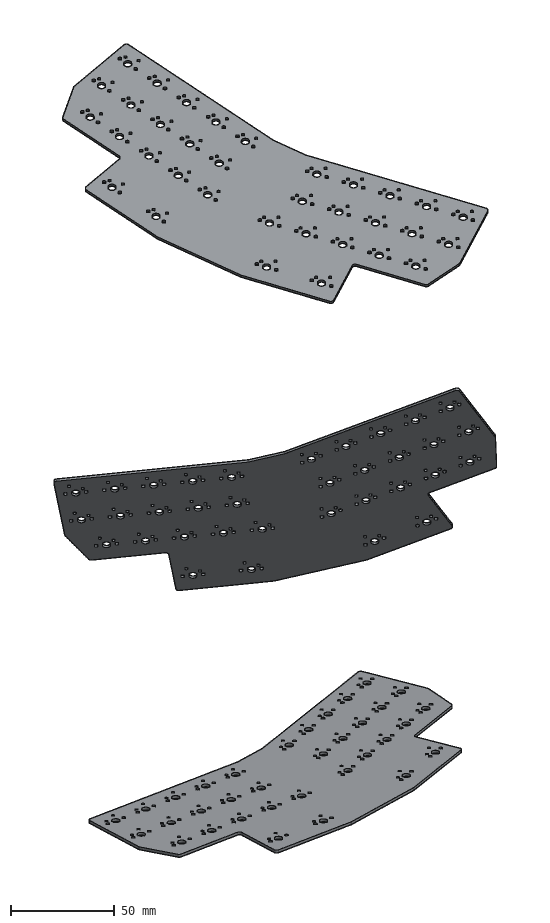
import cadquery as cq
import math


plate_thickness = 1.6
field_tilt = 10.0
corner_radius = 1.5
edge_margin = 9.58

key_pitch = 19.05
columns = 5
first_key_along = 24.49
top_row_up = 21.75
bottom_row_stagger = key_pitch / 2
thumb_keys = 2
thumb_pitch = 1.5 * key_pitch
thumb_row_drop = 27.19
thumb_shift = 0.24

middle_row_up = top_row_up - key_pitch
bottom_row_up = middle_row_up - key_pitch
thumb_row_up = bottom_row_up - thumb_row_drop
first_bottom_along = first_key_along - bottom_row_stagger
first_thumb_along = first_key_along - thumb_shift

stem_diameter = 3.99
locating_pin_diameter = 1.75
locating_pin_offset = 5.08
contact_diameter = 1.47
contact_points = [(-3.81, 2.54), (2.54, 5.08)]


def field_to_plate(along, up, side):
    """Turn field coordinates into plate X, Y; side is 1 for +X, -1 for -X."""
    tilt = math.radians(field_tilt)
    x = along * math.cos(tilt) - up * math.sin(tilt)
    y = along * math.sin(tilt) + up * math.cos(tilt)
    return (side * x, y)


def field_corners(side):
    """Outline of one half, from the top centre flat round to the bottom flat."""
    upper_end = first_key_along + (columns - 1) * key_pitch + edge_margin
    bottom_end = upper_end - bottom_row_stagger
    thumb_end = first_thumb_along + (thumb_keys - 1) * thumb_pitch + edge_margin
    top_edge = top_row_up + edge_margin
    bottom_edge = bottom_row_up - edge_margin
    thumb_edge = thumb_row_up - edge_margin
    corners = [
        (first_key_along - edge_margin, top_edge),
        (upper_end, top_edge),
        (upper_end, middle_row_up - edge_margin),
        (bottom_end, bottom_edge),
        (thumb_end, bottom_edge),
        (thumb_end, thumb_edge),
        (first_thumb_along - edge_margin, thumb_edge),
    ]
    return [field_to_plate(along, up, side) for along, up in corners]


def make_plate():
    outline = field_corners(1) + field_corners(-1)[::-1]
    plate = cq.Workplane("XY").polyline(outline).close().extrude(plate_thickness)
    return plate.edges("|Z").fillet(corner_radius)


def key_centres():
    """Key centres of one field, as (along, up)."""
    row_starts = [
        (first_key_along, top_row_up),
        (first_key_along, middle_row_up),
        (first_bottom_along, bottom_row_up),
    ]
    centres = []
    for start, up in row_starts:
        for column in range(columns):
            centres.append((start + column * key_pitch, up))
    for key in range(thumb_keys):
        centres.append((first_thumb_along + key * thumb_pitch, thumb_row_up))
    return centres


def switch_holes(centre, angle):
    """Cutters for one switch; the pattern is turned with its field, never mirrored."""
    locating_pins = [(-locating_pin_offset, 0), (locating_pin_offset, 0)]
    hole_groups = [
        (stem_diameter, [(0, 0)]),
        (locating_pin_diameter, locating_pins),
        (contact_diameter, contact_points),
    ]
    cutters = []
    for diameter, points in hole_groups:
        for x, y in points:
            cutter = cq.Solid.makeCylinder(diameter / 2, plate_thickness, cq.Vector(x, y, 0))
            turned = cutter.rotate(cq.Vector(0, 0, 0), cq.Vector(0, 0, 1), angle)
            cutters.append(turned.translate(cq.Vector(*centre, 0)))
    return cutters


def all_switch_holes():
    cutters = []
    for side in (1, -1):
        for along, up in key_centres():
            centre = field_to_plate(along, up, side)
            cutters += switch_holes(centre, side * field_tilt)
    return cq.Compound.makeCompound(cutters)


result = make_plate().cut(cq.Workplane(all_switch_holes()))